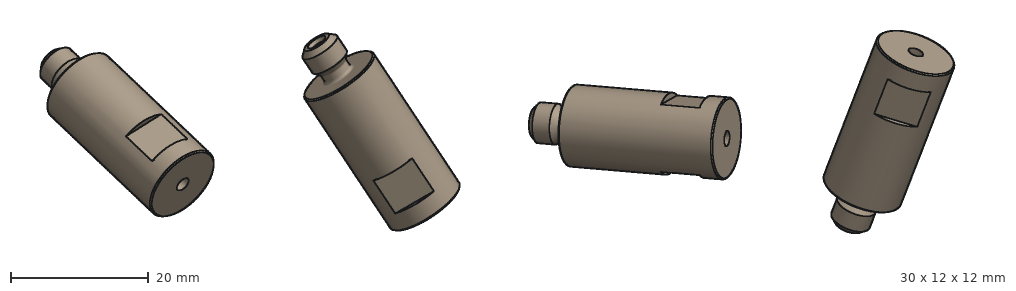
import cadquery as cq
import math

total_length = 30.0
body_radius = 6.0
body_start = 6.0
body_chamfer = 0.2

head_radius = 3.0
head_chamfer = 0.87
head_end = 3.55

neck_radius = 2.2
neck_cone_angle = math.radians(40)
cone_fillet = 0.4
shoulder_fillet = 0.48

bore_radius = 1.1
mouth_radius = 1.5
mouth_depth = 0.63

flat_start = 21.0
flat_length = 6.0
flat_half_distance = 5.0


def arc_point(center, radius, angle):
    """Point on a circle at the given angle from the +X direction."""
    return (center[0] + radius * math.cos(angle), center[1] + radius * math.sin(angle))


def turned_blank():
    """Head, neck and body revolved from a half profile of (axial, radial) points."""
    cone_start_height = cone_fillet * (1 - math.cos(neck_cone_angle))
    cone_length = (head_radius - neck_radius - cone_start_height) / math.tan(neck_cone_angle)
    neck_start = head_end + cone_length + cone_fillet * math.sin(neck_cone_angle)
    cone_center = (neck_start, neck_radius + cone_fillet)
    neck_tangent_angle = -math.pi / 2
    cone_tangent = arc_point(cone_center, cone_fillet, neck_tangent_angle - neck_cone_angle)
    cone_middle = arc_point(cone_center, cone_fillet, neck_tangent_angle - neck_cone_angle / 2)

    shoulder_center = (body_start - shoulder_fillet, neck_radius + shoulder_fillet)
    shoulder_middle = arc_point(shoulder_center, shoulder_fillet, -math.pi / 4)

    profile = (
        cq.Workplane("XY")
        .moveTo(0, 0)
        .lineTo(0, head_radius - head_chamfer)
        .lineTo(head_chamfer, head_radius)
        .lineTo(head_end, head_radius)
        .lineTo(*cone_tangent)
        .threePointArc(cone_middle, (neck_start, neck_radius))
        .lineTo(shoulder_center[0], neck_radius)
        .threePointArc(shoulder_middle, (body_start, shoulder_center[1]))
        .lineTo(body_start, body_radius - body_chamfer)
        .lineTo(body_start + body_chamfer, body_radius)
        .lineTo(total_length - body_chamfer, body_radius)
        .lineTo(total_length, body_radius - body_chamfer)
        .lineTo(total_length, 0)
        .close()
    )
    return profile.revolve(360, (0, 0, 0), (1, 0, 0))


def bore():
    """Through bore and its conical mouth at the stud tip."""
    profile = (
        cq.Workplane("XY")
        .moveTo(0, 0)
        .lineTo(0, mouth_radius)
        .lineTo(mouth_depth, bore_radius)
        .lineTo(total_length, bore_radius)
        .lineTo(total_length, 0)
        .close()
    )
    return profile.revolve(360, (0, 0, 0), (1, 0, 0))


def wrench_flat(side):
    """Material removed above (side = 1) or below (side = -1) the body axis."""
    depth = body_radius - flat_half_distance
    return cq.Workplane("XY").box(flat_length, 2 * body_radius, depth).translate(
        (flat_start + flat_length / 2, 0, side * (flat_half_distance + depth / 2))
    )


result = turned_blank().cut(bore())
for side in (1, -1):
    result = result.cut(wrench_flat(side))